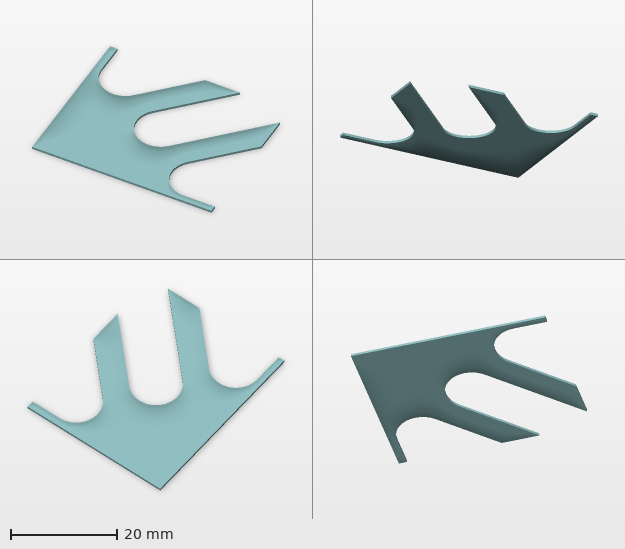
import cadquery as cq
import math

length = 38.1
width = 31.5
thickness = 0.5

notch_radius = 5.05
notch_step_x = 12.42
notch_step_y = 9.37
middle_x = length / 2
middle_y = width / 2

diagonal = notch_radius * math.sqrt(0.5)

upper_x = middle_x - notch_step_x
upper_y = middle_y + notch_step_y
lower_x = middle_x + notch_step_x
lower_y = middle_y - notch_step_y

left_arm_width = upper_x - notch_radius
bottom_arm_width = lower_y - notch_radius


def x_at_top(x, y):
    """X where a 45 degree line through (x, y) meets the top edge."""
    return x + width - y


def y_at_right(x, y):
    """Y where a 45 degree line through (x, y) meets the right edge."""
    return y + length - x


upper_end = (upper_x + diagonal, upper_y - diagonal)
middle_start = (middle_x - diagonal, middle_y + diagonal)
middle_end = (middle_x + diagonal, middle_y - diagonal)
lower_start = (lower_x - diagonal, lower_y + diagonal)

outline = (
    cq.Workplane("XY")
    .moveTo(0, 0)
    .lineTo(0, width)
    .lineTo(left_arm_width, width)
    .lineTo(left_arm_width, upper_y)
    .threePointArc((upper_x, upper_y - notch_radius), upper_end)
    .lineTo(x_at_top(*upper_end), width)
    .lineTo(x_at_top(*middle_start), width)
    .lineTo(*middle_start)
    .threePointArc((middle_x - diagonal, middle_y - diagonal), middle_end)
    .lineTo(length, y_at_right(*middle_end))
    .lineTo(length, y_at_right(*lower_start))
    .lineTo(*lower_start)
    .threePointArc((lower_x - notch_radius, lower_y), (lower_x, bottom_arm_width))
    .lineTo(length, bottom_arm_width)
    .lineTo(length, 0)
    .close()
)

result = outline.extrude(thickness)